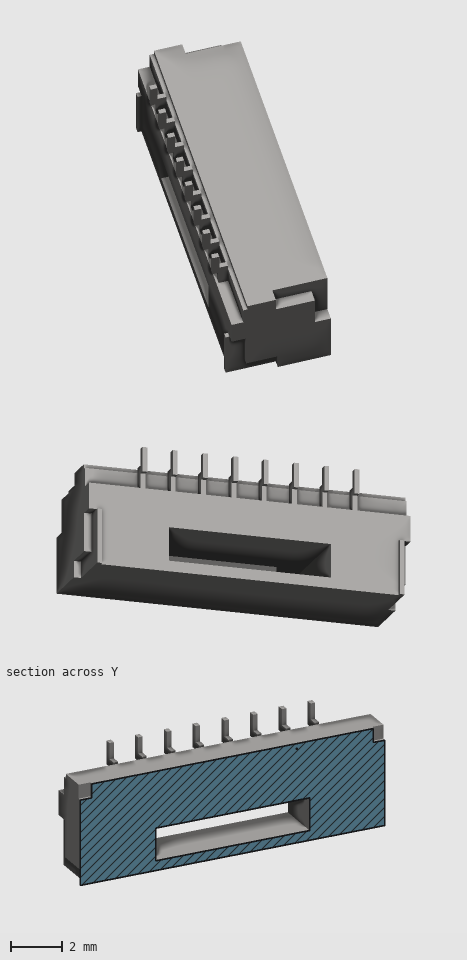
import cadquery as cq

length = 13.25
depth = 4.04
height = 4.27

ledge_height = 3.31
ledge_depth = 0.48
rebate_floor = 4.07
rebate_depth = 0.65

window_width = 6.68
window_floor = 0.44
window_roof = 1.82
tab_width = 4.45
tab_drop = 0.4
tab_thickness = 0.65

recess_inset = 0.49
rear_recess_floor = 2.3
rear_recess_step = 3.67
rear_recess_front = 1.8
rear_recess_inner = 3.39
clip_recess_top = 2.25
clip_recess_step = 0.68
clip_recess_inner = 0.6
clip_recess_rear = 1.88

front_overhang = 0.16
clip_thickness = 0.2
clip_top = 2.23
pin_count = 8
pin_row_span = 8.75
pin_width = 0.2
pin_foot_front = 0.09
pin_arm_bottom = 3.95
pin_post_rear = 0.12
pin_top = 4.95
pin_pitch = pin_row_span / (pin_count - 1)


def extrude_along_x(points, x_start, width):
    """Extrude a closed (Y, Z) outline towards +X from x_start."""
    return cq.Workplane("YZ").workplane(offset=x_start).polyline(points).close().extrude(width)


def on_both_ends(left_part):
    """Return a left-end shape together with its mirror image at the right end."""
    return left_part.union(left_part.mirror("YZ"))


def centred_block(width, y_start, y_end, z_start, z_end):
    """Box centred on X between the given Y and Z limits."""
    size_y = y_end - y_start
    size_z = z_end - z_start
    block = cq.Workplane("XY").box(width, size_y, size_z, centered=(True, False, False))
    return block.translate((0, y_start, z_start))


def make_housing():
    profile = [
        (0, 0),
        (depth, 0),
        (depth, height),
        (rebate_depth, height),
        (rebate_depth, rebate_floor),
        (ledge_depth, rebate_floor),
        (ledge_depth, ledge_height),
        (0, ledge_height),
    ]
    return extrude_along_x(profile, -length / 2, length)


def make_window():
    opening = centred_block(window_width, 0, depth, window_floor, window_roof)
    tab = centred_block(tab_width, depth - tab_thickness, depth, window_roof - tab_drop, window_roof)
    return opening.cut(tab)


def make_rear_recesses():
    outline = [
        (rear_recess_front, height),
        (depth, height),
        (depth, rear_recess_floor),
        (rear_recess_inner, rear_recess_floor),
        (rear_recess_inner, rear_recess_step),
        (rear_recess_front, rear_recess_step),
    ]
    return on_both_ends(extrude_along_x(outline, -length / 2, recess_inset))


def clip_outline(front, top):
    return [
        (front, 0),
        (clip_recess_rear, 0),
        (clip_recess_rear, clip_recess_step),
        (clip_recess_inner, clip_recess_step),
        (clip_recess_inner, top),
        (front, top),
    ]


def make_clip_recesses():
    outline = clip_outline(0, clip_recess_top)
    return on_both_ends(extrude_along_x(outline, -length / 2, recess_inset))


def make_clips():
    outline = clip_outline(-front_overhang, clip_top)
    x_start = -length / 2 + recess_inset - clip_thickness
    return on_both_ends(extrude_along_x(outline, x_start, clip_thickness))


def make_pin(x_centre):
    profile = [
        (ledge_depth, ledge_height),
        (ledge_depth, height),
        (pin_post_rear, height),
        (pin_post_rear, pin_top),
        (-front_overhang, pin_top),
        (-front_overhang, pin_arm_bottom),
        (pin_foot_front, pin_arm_bottom),
        (pin_foot_front, ledge_height),
    ]
    return extrude_along_x(profile, x_centre - pin_width / 2, pin_width)


result = make_housing()
result = result.cut(make_window())
result = result.cut(make_rear_recesses())
result = result.cut(make_clip_recesses())
result = result.union(make_clips())

for index in range(pin_count):
    result = result.union(make_pin(index * pin_pitch - pin_row_span / 2))